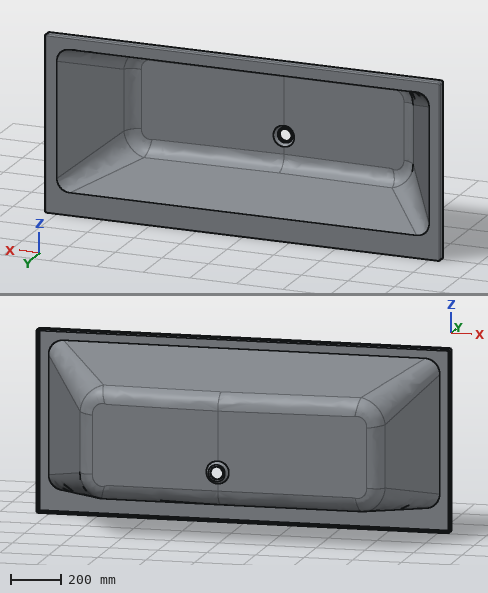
import cadquery as cq
import math


WALL = 7.0

RIM_LENGTH = 1700.0
RIM_WIDTH = 750.0
RIM_DEPTH = 34.0
RIM_CORNER_RADIUS = 10.0
RIM_EDGE_RADIUS = 5.0

LEFT_MOUTH = -811.0
RIGHT_MOUTH = 804.0
UPPER_MOUTH = 330.0
LOWER_MOUTH = -284.0
MOUTH_CORNER_RADIUS = 61.0

LEFT_LEAN = 0.57
RIGHT_LEAN = 0.33
UPPER_LEAN = 0.24
LOWER_LEAN = 0.14

FLOOR_DEPTH_AT_MIDDLE = 454.0
FLOOR_SLOPE = 0.018
FLOOR_CORNER_RADIUS = 110.0
FLOOR_EDGE_RADIUS = 70.0

DRAIN_Z = -85.0
DRAIN_BASE_RADIUS = 46.0
DRAIN_TIP_RADIUS = 34.0
DRAIN_HOLE_RADIUS = 25.0
OVERALL_DEPTH = 470.0


def make_rim():
    """Flat rim plate with a lip turned down around its edge."""
    plate = (
        cq.Workplane("XZ")
        .rect(RIM_LENGTH, RIM_WIDTH)
        .extrude(RIM_DEPTH)
        .edges("|Y")
        .fillet(RIM_CORNER_RADIUS)
        .faces(">Y")
        .edges()
        .fillet(RIM_EDGE_RADIUS)
    )
    hollow = (
        cq.Workplane("XZ", origin=(0, -WALL, 0))
        .rect(RIM_LENGTH - 2 * WALL, RIM_WIDTH - 2 * WALL)
        .extrude(RIM_DEPTH)
    )
    return plate.cut(hollow)


def basin_outline(depth, corner_radius, inset):
    """Rounded rectangle around the basin at one depth, inset square to its walls."""
    left = LEFT_MOUTH + LEFT_LEAN * depth + inset * math.hypot(1, LEFT_LEAN)
    right = RIGHT_MOUTH - RIGHT_LEAN * depth - inset * math.hypot(1, RIGHT_LEAN)
    upper = UPPER_MOUTH - UPPER_LEAN * depth - inset * math.hypot(1, UPPER_LEAN)
    lower = LOWER_MOUTH + LOWER_LEAN * depth + inset * math.hypot(1, LOWER_LEAN)
    center = cq.Location(cq.Vector((left + right) / 2, (lower + upper) / 2, 0))
    outline = cq.Sketch().rect(right - left, upper - lower).vertices().fillet(corner_radius - inset)
    return outline.moved(center)


def make_basin(inset):
    """Solid basin body with every face moved inwards by the inset."""
    body = (
        cq.Workplane("XZ")
        .placeSketch(
            basin_outline(0, MOUTH_CORNER_RADIUS, inset),
            basin_outline(OVERALL_DEPTH, FLOOR_CORNER_RADIUS, inset).moved(
                cq.Location(cq.Vector(0, 0, OVERALL_DEPTH))
            ),
        )
        .loft(ruled=True)
    )
    middle_y = inset - FLOOR_DEPTH_AT_MIDDLE
    side_y = middle_y + FLOOR_SLOPE * RIM_LENGTH / 2
    above_floor = (
        cq.Workplane("XY")
        .moveTo(-RIM_LENGTH / 2, 0)
        .lineTo(-RIM_LENGTH / 2, side_y)
        .lineTo(0, middle_y)
        .lineTo(RIM_LENGTH / 2, side_y)
        .lineTo(RIM_LENGTH / 2, 0)
        .close()
        .extrude(RIM_WIDTH / 2, both=True)
    )
    return (
        body.intersect(above_floor)
        .faces("%PLANE and (not >Y)")
        .edges("not |Z")
        .fillet(FLOOR_EDGE_RADIUS - inset)
    )


def make_drain(inset):
    """Tapered drain cup that starts inside the basin and ends below its floor."""
    start_depth = FLOOR_DEPTH_AT_MIDDLE - 2 * WALL
    taper = (DRAIN_BASE_RADIUS - DRAIN_TIP_RADIUS) / (OVERALL_DEPTH - FLOOR_DEPTH_AT_MIDDLE)
    start_radius = DRAIN_TIP_RADIUS + taper * (OVERALL_DEPTH - start_depth)
    return (
        cq.Workplane("XZ", origin=(0, -start_depth, DRAIN_Z))
        .circle(start_radius - inset)
        .workplane(offset=OVERALL_DEPTH - inset - start_depth)
        .circle(DRAIN_TIP_RADIUS + taper * inset - inset)
        .loft(ruled=True)
    )


drain_hole = (
    cq.Workplane("XZ", origin=(0, 0, DRAIN_Z))
    .circle(DRAIN_HOLE_RADIUS)
    .extrude(OVERALL_DEPTH)
)

result = (
    make_rim()
    .union(make_basin(0))
    .union(make_drain(0))
    .cut(make_basin(WALL))
    .cut(make_drain(WALL))
    .cut(drain_hole)
)